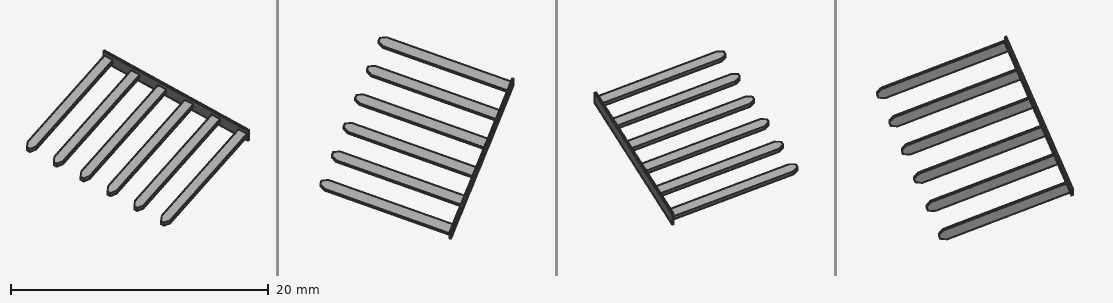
import cadquery as cq

strip_length = 13.74
strip_thickness = 0.15
strip_height = 1.22

total_depth = 11.02
pin_count = 6
pin_pitch = 2.54
pin_width = 0.8
pin_thickness = 0.4
tip_length = 0.47
tip_width = 0.3

shoulder_y = tip_length - total_depth


def make_strip():
    return cq.Workplane("XY").box(
        strip_length, strip_thickness, strip_height
    ).translate((0, -strip_thickness / 2, 0))


def make_pin(center_x):
    outline = [
        (-pin_width / 2, -strip_thickness),
        (-pin_width / 2, shoulder_y),
        (-tip_width / 2, -total_depth),
        (tip_width / 2, -total_depth),
        (pin_width / 2, shoulder_y),
        (pin_width / 2, -strip_thickness),
    ]
    pin = cq.Workplane("XY").polyline(outline).close().extrude(pin_thickness / 2, both=True)
    return pin.translate((center_x, 0, 0))


result = make_strip()
for index in range(pin_count):
    offset_from_middle = index - (pin_count - 1) / 2
    result = result.union(make_pin(offset_from_middle * pin_pitch))